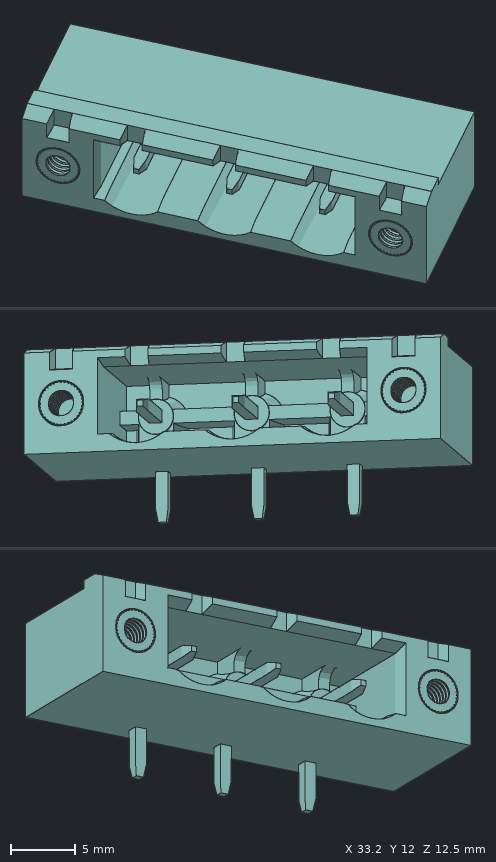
import cadquery as cq
import math


length = 33.15
depth = 12.0
body_height = 7.82
rail_height = 8.52
rail_depth = 2.98
bevel_depth = 1.3
bevel_drop = 0.5

pitch = 7.62
pin_places = (-pitch, 0.0, pitch)
axis_z = 3.95
pin_width = 1.0
pin_row_y = 9.98
pin_drop = 3.98
solder_tip_length = 1.0
solder_tip_width = 0.65
contact_front_y = 1.3
contact_tip_length = 1.0
contact_tip_width = 0.45

cavity_width = 21.0
cavity_floor = 1.6
cavity_ceiling = 6.93
cavity_depth = 9.95
mouth_width = 21.4
mouth_floor = 1.4
mouth_ceiling = 7.42
lead_in_depth = bevel_depth
trough_radius = 3.18
trough_mouth_radius = 3.35

boss_base_radius = 2.05
boss_radius = 1.4
boss_height = 2.6
boss_flare = 9.1
collar_height = 0.1
rib_front_y = cavity_depth - boss_height
bar_width = 1.1
rib_fillet = 1.03

notch_mouth_width = 1.82
notch_back_width = 1.45
notch_back_z = 6.9
notch_mouth_z = 6.6

insert_x = 13.62
insert_radius = 1.8
knurl_root_radius = 1.65
knurl_tip_radius = 1.75
knurl_count = 36
knurl_groove_length = 0.33
thread_radius = 1.0
thread_groove_depth = 0.05
thread_pitch = 0.45
thread_turns = 8

overlap = 0.33


def box(x_range, y_range, z_range):
    """Axis-aligned box between the given limits."""
    size = [high - low for low, high in (x_range, y_range, z_range)]
    corner = (x_range[0], y_range[0], z_range[0])
    return cq.Workplane("XY").box(*size, centered=False).translate(corner)


def xz_plane(y, x=0.0, z=0.0):
    """Sketch plane facing +Y at depth y, with local x along -X and local y along +Z."""
    return cq.Workplane(cq.Plane(origin=(x, y, z), xDir=(-1, 0, 0), normal=(0, 1, 0)))


def frustum(center_x, center_z, start_y, radii, height):
    """Round frustum along +Y with the given start and end radii."""
    start_radius, end_radius = radii
    profile = [(0, 0), (start_radius, 0), (end_radius, height), (0, height)]
    cone = cq.Workplane("XY").polyline(profile).close().revolve(360, (0, 0), (0, 1))
    return cone.translate((center_x, start_y, center_z))


def rect_loft(start, end):
    """Loft along Y between two rectangles given as (y, width, bottom, top)."""
    y, width, bottom, top = start
    end_y, end_width, end_bottom, end_top = end
    rise = (end_bottom + end_top - bottom - top) / 2
    return (
        xz_plane(y, z=(bottom + top) / 2)
        .rect(width, top - bottom)
        .workplane(offset=end_y - y)
        .center(0, rise)
        .rect(end_width, end_top - end_bottom)
        .loft(ruled=True)
    )


def housing_block():
    """Side outline with the raised, beveled front rail, carried along the whole length."""
    outline = [
        (0, 0),
        (depth, 0),
        (depth, body_height),
        (rail_depth, body_height),
        (rail_depth, rail_height),
        (bevel_depth, rail_height),
        (0, rail_height - bevel_drop),
    ]
    return cq.Workplane("YZ").polyline(outline).close().extrude(length / 2, both=True)


def cavity():
    """Open socket with a lead-in mouth and one round trough under each contact."""
    mouth = (0, mouth_width, mouth_floor, mouth_ceiling)
    throat = (lead_in_depth, cavity_width, cavity_floor, cavity_ceiling)
    back = (cavity_depth, cavity_width, cavity_floor, cavity_ceiling)
    space = rect_loft(mouth, throat).union(rect_loft(throat, back))
    trough_length = cavity_depth - boss_height - lead_in_depth
    keep = box(
        (-cavity_width / 2, cavity_width / 2),
        (0, cavity_depth),
        (0, axis_z),
    )
    for x in pin_places:
        radii = (trough_mouth_radius, trough_radius)
        entry = frustum(x, axis_z, 0, radii, lead_in_depth)
        straight = (trough_radius, trough_radius)
        channel = frustum(x, axis_z, lead_in_depth, straight, trough_length)
        space = space.union(entry.union(channel).intersect(keep))
    return space


def flared_profile():
    """Half outline of a boss, hollow-curved from its wide base to its narrow nose."""
    run = boss_base_radius - boss_radius
    chord = math.hypot(run, boss_height)
    sagitta = boss_flare - math.sqrt(boss_flare**2 - (chord / 2) ** 2)
    arc_middle = (
        (boss_base_radius + boss_radius) / 2 - sagitta * boss_height / chord,
        cavity_depth - boss_height / 2 - sagitta * run / chord,
    )
    return (
        cq.Workplane("XY")
        .moveTo(0, cavity_depth)
        .lineTo(boss_base_radius, cavity_depth)
        .threePointArc(arc_middle, (boss_radius, cavity_depth - boss_height))
        .lineTo(0, cavity_depth - boss_height)
        .close()
    )


def boss(x):
    """Flared boss, round above the contact and straight-sided down to the floor, with a collar."""
    dome = flared_profile().revolve(360, (0, 0), (0, 1))
    skirt_half = flared_profile().extrude(-axis_z)
    skirt = skirt_half.union(skirt_half.mirror("YZ"))
    front_y = cavity_depth - boss_height - collar_height
    radii = (boss_radius, boss_radius)
    collar = frustum(0, 0, front_y, radii, boss_height)
    return dome.union(skirt).union(collar).translate((x, 0, axis_z))


def upright_rib(x):
    """Rib from the contact up to the ceiling, blending into it with a hollow round."""
    arc_middle = rib_fillet * (1 - math.sqrt(0.5))
    return (
        cq.Workplane("YZ")
        .moveTo(cavity_depth + overlap, axis_z)
        .lineTo(rib_front_y, axis_z)
        .lineTo(rib_front_y, cavity_ceiling - rib_fillet)
        .threePointArc(
            (rib_front_y - arc_middle, cavity_ceiling - arc_middle),
            (rib_front_y - rib_fillet, cavity_ceiling),
        )
        .lineTo(cavity_depth + overlap, cavity_ceiling)
        .close()
        .extrude(pin_width / 2, both=True)
        .translate((x, 0, 0))
    )


def cross_bar():
    """Level bar along the back wall, joining the bosses and the side walls."""
    return box(
        (-cavity_width / 2, cavity_width / 2),
        (rib_front_y, cavity_depth + overlap),
        (axis_z - bar_width / 2, axis_z + bar_width / 2),
    )


def contact(x):
    """Bent square pin: a level blade in the cavity and a solder leg below the housing."""
    half = pin_width / 2
    blade_start_y = contact_front_y + contact_tip_length
    blade = box(
        (-half, half),
        (blade_start_y, pin_row_y + half),
        (axis_z - half, axis_z + half),
    )
    blade_tip = rect_loft(
        (
            contact_front_y,
            contact_tip_width,
            axis_z - contact_tip_width / 2,
            axis_z + contact_tip_width / 2,
        ),
        (blade_start_y, pin_width, axis_z - half, axis_z + half),
    )
    leg_end_z = solder_tip_length - pin_drop
    leg = box(
        (-half, half),
        (pin_row_y - half, pin_row_y + half),
        (leg_end_z, axis_z),
    )
    leg_tip = (
        cq.Workplane("XY", origin=(0, pin_row_y, -pin_drop))
        .rect(solder_tip_width, solder_tip_width)
        .workplane(offset=solder_tip_length)
        .rect(pin_width, pin_width)
        .loft(ruled=True)
    )
    return blade.union(blade_tip).union(leg).union(leg_tip).translate((x, 0, 0))


def notch(x, mouth_z, back_z):
    """Coding notch in the rail, narrowing toward its back between the given floor heights."""
    top = rail_height + overlap
    mouth = (0, notch_mouth_width, mouth_z, top)
    back = (bevel_depth, notch_back_width, back_z, top)
    return rect_loft(mouth, back).translate((x, 0, 0))


def threaded_hole(x):
    """Blind hole with a V-shaped thread groove at every pitch."""
    half_pitch = thread_pitch / 2
    profile = cq.Workplane("XY").moveTo(0, 0).lineTo(thread_radius, 0)
    for turn in range(thread_turns):
        start_y = turn * thread_pitch
        profile = profile.lineTo(thread_radius + thread_groove_depth, start_y + half_pitch)
        profile = profile.lineTo(thread_radius, start_y + thread_pitch)
    profile = profile.lineTo(0, thread_turns * thread_pitch).close()
    return profile.revolve(360, (0, 0), (0, 1)).translate((x, 0, axis_z))


def knurl_grooves(x):
    """Ring-shaped gap left between a round pocket and the knurled rim of the insert."""
    points = []
    for step in range(2 * knurl_count):
        angle = math.pi * step / knurl_count
        radius = knurl_tip_radius if step % 2 else knurl_root_radius
        points.append((radius * math.cos(angle), radius * math.sin(angle)))
    pocket = xz_plane(0, x, axis_z).circle(insert_radius).extrude(knurl_groove_length)
    rim = xz_plane(0, x, axis_z).polyline(points).close().extrude(knurl_groove_length)
    return pocket.cut(rim)


result = housing_block().cut(cavity())
for pin_x in pin_places:
    result = result.union(boss(pin_x)).union(upright_rib(pin_x))
    result = result.union(contact(pin_x))
    result = result.cut(notch(pin_x, cavity_ceiling, cavity_ceiling))
result = result.union(cross_bar())
for insert_place in (-insert_x, insert_x):
    result = result.cut(notch(insert_place, notch_mouth_z, notch_back_z))
    result = result.cut(threaded_hole(insert_place))
    result = result.cut(knurl_grooves(insert_place))